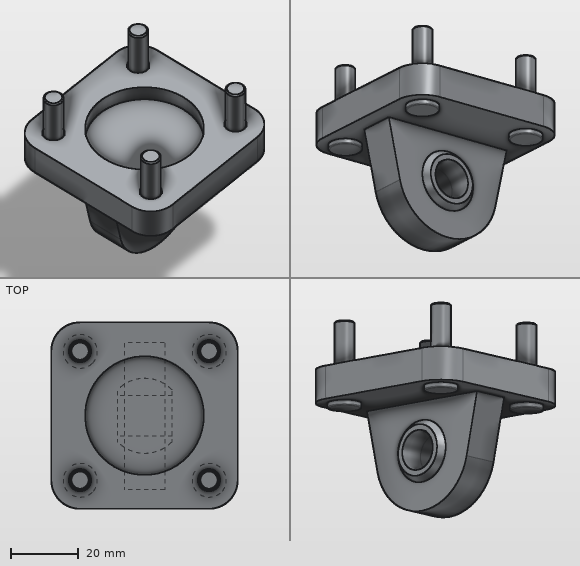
import cadquery as cq
import math


overall_height = 57.5

lug_thickness = 12.0
lug_radius = 18.0
lug_root_width = 43.35

plate_side = 55.0
plate_thickness = 10.0
plate_bottom = 15.0
plate_top = plate_bottom + plate_thickness
recess_diameter = 35.0
recess_depth = 5.0

screw_spacing = 38.0
shank_diameter = 6.0
shank_hole_diameter = 6.6
shank_chamfer = 0.45
head_diameter = 10.0
head_height = shank_diameter
head_protrusion = 1.5
head_edge_radius = 0.35
head_bottom = plate_bottom - head_protrusion
head_seat = head_bottom + head_height
screw_top = overall_height - lug_radius

ball_diameter = 22.2
ball_width = 16.0
ball_bore = 12.0

corner_radius = (plate_side - screw_spacing) / 2
half_spacing = screw_spacing / 2
screw_points = [(sx * half_spacing, sy * half_spacing) for sx in (-1, 1) for sy in (-1, 1)]


def make_plate():
    """Square plate with rounded corners and a round recess in the top face."""
    plate = (
        cq.Workplane("XY", origin=(0, 0, plate_bottom))
        .rect(plate_side, plate_side)
        .extrude(plate_thickness)
        .edges("|Z")
        .fillet(corner_radius)
    )
    recess = (
        cq.Workplane("XY", origin=(0, 0, plate_top - recess_depth))
        .circle(recess_diameter / 2)
        .extrude(recess_depth)
    )
    return plate.cut(recess)


def make_lug():
    """Tapered lug whose straight flanks run tangent into the round lower end."""
    root_half = lug_root_width / 2
    root_distance = math.hypot(root_half, plate_bottom)
    tangent_angle = math.atan2(plate_bottom, root_half) - math.acos(lug_radius / root_distance)
    tangent_y = lug_radius * math.cos(tangent_angle)
    tangent_z = lug_radius * math.sin(tangent_angle)
    return (
        cq.Workplane("YZ")
        .moveTo(-root_half, plate_bottom)
        .lineTo(-tangent_y, tangent_z)
        .threePointArc((0, -lug_radius), (tangent_y, tangent_z))
        .lineTo(root_half, plate_bottom)
        .close()
        .extrude(lug_thickness / 2, both=True)
    )


def make_sphere():
    """Full sphere of the bearing, with its poles on the X axis."""
    return cq.Workplane("YZ").sphere(ball_diameter / 2)


def make_bracket():
    """Plate and lug in one piece, with the screw holes and the spherical seat cut out."""
    bracket = make_plate().union(make_lug())
    shank_holes = (
        cq.Workplane("XY", origin=(0, 0, plate_bottom))
        .pushPoints(screw_points)
        .circle(shank_hole_diameter / 2)
        .extrude(plate_thickness)
    )
    head_recesses = (
        cq.Workplane("XY", origin=(0, 0, plate_bottom))
        .pushPoints(screw_points)
        .circle(head_diameter / 2)
        .extrude(head_seat - plate_bottom)
    )
    return bracket.cut(shank_holes).cut(head_recesses).cut(make_sphere())


def make_ball():
    """Ball with two flat faces and a bore along X."""
    flats = cq.Workplane("XY").box(ball_width, ball_diameter, ball_diameter)
    bore = cq.Workplane("YZ").circle(ball_bore / 2).extrude(ball_width / 2, both=True)
    return make_sphere().intersect(flats).cut(bore)


def make_screw(x, y):
    """Cap screw pointing up, with a rounded head edge and a chamfered shank end."""
    head = (
        cq.Workplane("XY", origin=(x, y, head_bottom))
        .circle(head_diameter / 2)
        .extrude(head_height)
        .faces("<Z")
        .edges()
        .fillet(head_edge_radius)
    )
    shank = (
        cq.Workplane("XY", origin=(x, y, head_seat))
        .circle(shank_diameter / 2)
        .extrude(screw_top - head_seat)
        .faces(">Z")
        .edges()
        .chamfer(shank_chamfer)
    )
    return head.union(shank)


bracket = make_bracket()
ball = make_ball()
screws = [make_screw(x, y) for x, y in screw_points]

result = cq.Compound.makeCompound([bracket.val(), ball.val(), *[screw.val() for screw in screws]])